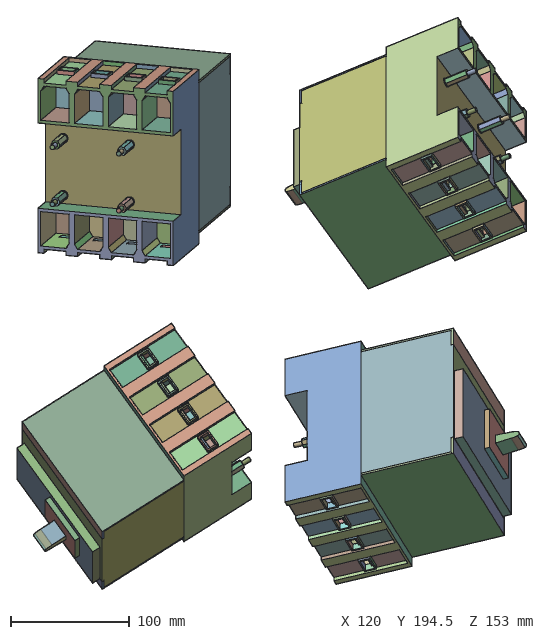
import cadquery as cq
import math


width = 120.0
base_height = 153.0
base_depth = 68.7
recess_height = 74.7
recess_depth = 20.0

pole_count = 4
pole_pitch = 30.0

pocket_width = 25.1
pocket_height = 30.2
pocket_depth = 40.0
pocket_floor = 2.7
corner_height = 4.5

groove_width = 19.7
groove_depth = 3.5
groove_length = 66.5

frame_width = 15.4
frame_length = 10.9
frame_wall = 1.4
frame_start = 28.6
ledge_length = 2.7

stud_columns = (-44.2, 14.8)
stud_rows = (-30.0, 20.0)
flange_diameter = 8.2
flange_thickness = 0.8
hex_across_flats = 7.0
hex_overhang = 1.0
stud_tip_diameter = 4.0
stud_overhang = 9.0

case_height = 133.9
case_depth = 83.0
cover_wall = 2.0
cover_gap = 99.2

wide_plate_width = 113.5
wide_plate_height = 72.8
wide_plate_z = -12.6
wide_plate_thickness = 7.5
small_plate_width = 44.5
small_plate_height = 41.2
small_plate_z = -4.7
small_plate_thickness = 4.9

handle_x = -15.2
handle_width = 17.3
handle_root_top = -2.3
handle_root_bottom = -10.7
handle_taper_length = 14.0
handle_taper_top = -2.7
handle_taper_bottom = -9.5
handle_nose_tip_length = 1.4
handle_nose_top = -3.9
handle_nose_bottom = -8.5
handle_nose_bulge = 0.2

total_length = 194.5
pole_positions = [(i - (pole_count - 1) / 2) * pole_pitch for i in range(pole_count)]
foot_top = base_height / 2
groove_floor = foot_top - groove_depth
pocket_bottom = recess_height / 2 + pocket_floor
pocket_top = pocket_bottom + pocket_height
case_front = base_depth + case_depth
wide_plate_front = case_front + wide_plate_thickness
small_plate_front = wide_plate_front + small_plate_thickness
handle_tip = total_length - stud_overhang


def block(x_middle, x_size, y_range, z_range):
    """Box centred on x_middle that spans the given Y and Z ranges."""
    y_start, y_end = y_range
    z_start, z_end = z_range
    return cq.Workplane("XY").box(
        x_size, y_end - y_start, z_end - z_start, centered=(True, False, False)
    ).translate((x_middle, y_start, z_start))


def around(middle, size):
    """Range of the given size around a middle."""
    return (middle - size / 2, middle + size / 2)


def upper_and_lower(upper):
    """An upper shape together with its mirror image below Z = 0."""
    return [upper, upper.mirror("XY")]


def pocket(x_middle, square_corner_side=0):
    """Upper pocket with sloped top corners; side -1 or 1 keeps that corner square, 0 neither."""
    half_width = pocket_width / 2
    half_top = groove_width / 2
    slope_start = pocket_top - corner_height
    outline = [(-half_width, pocket_bottom)]
    for side in (-1, 1):
        if side == square_corner_side:
            corner = [(side * half_width, pocket_top)]
        else:
            corner = [(side * half_width, slope_start), (side * half_top, pocket_top)]
        outline += corner if side == -1 else corner[::-1]
    outline.append((half_width, pocket_bottom))
    return (
        cq.Workplane("XZ").polyline(outline).close().extrude(-pocket_depth)
        .translate((x_middle, 0, 0))
    )


def groove(x_middle):
    """Upper groove, open at the foot end."""
    return block(x_middle, groove_width, (0, groove_length), (groove_floor, foot_top))


def window_frame(x_middle):
    """Solid block of the window frame, standing in the upper groove."""
    return block(
        x_middle, frame_width, (frame_start, frame_start + frame_length), (groove_floor, foot_top)
    )


def window(x_middle):
    """Window opening: closed by a ledge at its far end, open into the pocket elsewhere."""
    opening_width = frame_width - 2 * frame_wall
    near = frame_start + frame_wall
    far = frame_start + frame_length - frame_wall
    over_ledge = block(x_middle, opening_width, (near, far), (groove_floor, foot_top))
    through = block(x_middle, opening_width, (near, far - ledge_length), (pocket_top, foot_top))
    return over_ledge.union(through)


def stud(x, z):
    """Flanged hexagonal stud that stands on the recess face and points to -Y."""
    face = cq.Workplane("XZ", origin=(x, recess_depth, z))
    hex_across_corners = hex_across_flats / math.cos(math.radians(30))
    flange = face.circle(flange_diameter / 2).extrude(flange_thickness)
    hexagon = face.polygon(6, hex_across_corners).extrude(recess_depth + hex_overhang)
    tip = face.circle(stud_tip_diameter / 2).extrude(recess_depth + stud_overhang)
    return flange.union(hexagon).union(tip)


def make_base():
    """Plug-in base with two rows of terminal pockets and four mounting studs."""
    base = block(0, width, (0, base_depth), around(0, base_height))
    base = base.cut(block(0, width, (0, recess_depth), around(0, recess_height)))
    for x in pole_positions:
        for shape in upper_and_lower(groove(x)):
            base = base.cut(shape)
        for shape in upper_and_lower(window_frame(x)):
            base = base.union(shape)
        outer_side = 0
        if x in (pole_positions[0], pole_positions[-1]):
            outer_side = math.copysign(1, x)
        base = base.cut(pocket(x))
        base = base.cut(pocket(x, outer_side).mirror("XY"))
        for shape in upper_and_lower(window(x)):
            base = base.cut(shape)
    for x in stud_columns:
        for z in stud_rows:
            base = base.union(stud(x, z))
    return base


def handle():
    """Tapered handle with a rounded nose, along Y from the small plate."""
    taper_end = small_plate_front + handle_taper_length
    nose_start = handle_tip - handle_nose_tip_length
    tip_z = (handle_nose_top + handle_nose_bottom) / 2
    profile = (
        cq.Workplane("YZ")
        .moveTo(small_plate_front, handle_root_bottom)
        .lineTo(taper_end, handle_taper_bottom)
        .sagittaArc((nose_start, handle_nose_bottom), -handle_nose_bulge)
        .threePointArc((handle_tip, tip_z), (nose_start, handle_nose_top))
        .sagittaArc((taper_end, handle_taper_top), -handle_nose_bulge)
        .lineTo(small_plate_front, handle_root_top)
        .close()
    )
    return profile.extrude(handle_width / 2, both=True).translate((handle_x, 0, 0))


def make_core():
    """Breaker core: block between the covers, stepped front plates and handle."""
    inner_height = case_height - 2 * cover_wall
    core = block(0, width, (base_depth, case_front - cover_wall), around(0, inner_height))
    front_face = block(0, width, (base_depth, case_front), around(0, cover_gap))
    wide_plate = block(
        0, wide_plate_width, (case_front, wide_plate_front), around(wide_plate_z, wide_plate_height)
    )
    small_plate = block(
        handle_x,
        small_plate_width,
        (wide_plate_front, small_plate_front),
        around(small_plate_z, small_plate_height),
    )
    return core.union(front_face).union(wide_plate).union(small_plate).union(handle())


def make_upper_cover():
    """L-shaped cover over the top of the core and the upper end of its front."""
    roof_range = (case_height / 2 - cover_wall, case_height / 2)
    front_range = (cover_gap / 2, case_height / 2)
    roof = block(0, width, (base_depth, case_front), roof_range)
    front = block(0, width, (case_front - cover_wall, case_front), front_range)
    return roof.union(front)


base = make_base()
core = make_core()
covers = upper_and_lower(make_upper_cover())

result = cq.Compound.makeCompound([base.val(), core.val(), *[cover.val() for cover in covers]])